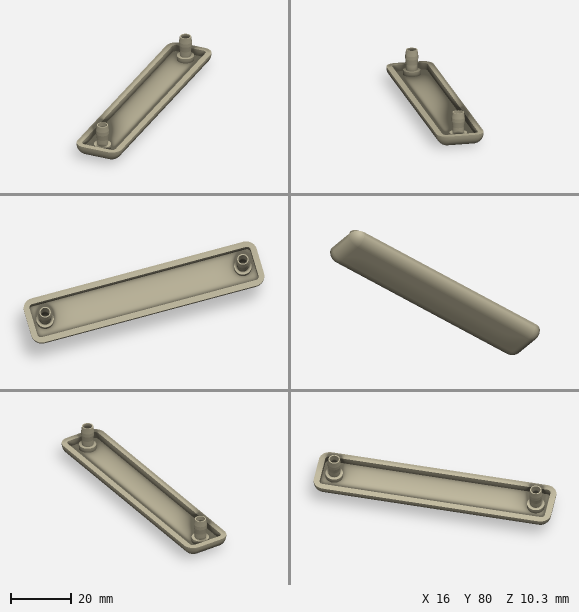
import cadquery as cq

length = 80.0
width = 16.0
plate_height = 4.0
edge_band = 0.4
edge_radius = plate_height - edge_band

rim_width = 2.0
pocket_depth = 2.3
pocket_corner_radius = 1.2

pin_spacing = 68.0
boss_diameter = 5.8
boss_height = 1.6
pin_diameter = 3.8
barb_diameter = 4.3
bore_diameter = 3.0
total_height = 10.3
tip_taper = 1.9
barb_band = 1.2
barb_taper = 1.9
bore_depth = 6.3

pocket_floor = plate_height - pocket_depth
boss_top = pocket_floor + boss_height


def make_plate():
    """Rounded plate with a rectangular pocket open at the top."""
    plate = (
        cq.Workplane("XY")
        .box(width, length, plate_height, centered=(True, True, False))
        .edges("|Z").fillet(edge_radius)
        .faces("<Z").edges().fillet(edge_radius)
    )
    pocket = (
        cq.Workplane("XY", origin=(0, 0, pocket_floor))
        .box(width - 2 * rim_width, length - 2 * rim_width, pocket_depth, centered=(True, True, False))
        .edges("|Z").fillet(pocket_corner_radius)
    )
    return plate.cut(pocket)


def make_pin():
    """Boss and barbed pin on the Z axis, from the pocket floor up."""
    pin_radius = pin_diameter / 2
    barb_radius = barb_diameter / 2
    boss_radius = boss_diameter / 2
    band_top = total_height - tip_taper
    band_bottom = band_top - barb_band
    neck_top = band_bottom - barb_taper
    return (
        cq.Workplane("XZ")
        .moveTo(0, pocket_floor)
        .lineTo(boss_radius, pocket_floor)
        .lineTo(boss_radius, boss_top)
        .lineTo(pin_radius, boss_top)
        .lineTo(pin_radius, neck_top)
        .lineTo(barb_radius, band_bottom)
        .lineTo(barb_radius, band_top)
        .lineTo(pin_radius, total_height)
        .lineTo(0, total_height)
        .close()
        .revolve(360, (0, 0, 0), (0, 1, 0))
    )


def make_bore():
    """Blind bore on the Z axis with a hemispherical end."""
    bore_radius = bore_diameter / 2
    bore_bottom = total_height - bore_depth
    return (
        cq.Workplane("XY", origin=(0, 0, bore_bottom))
        .circle(bore_radius)
        .extrude(bore_depth)
        .faces("<Z").workplane(origin=(0, 0, bore_bottom))
        .sphere(bore_radius)
    )


result = make_plate()
pin = make_pin().cut(make_bore())
for pin_y in (-pin_spacing / 2, pin_spacing / 2):
    result = result.union(pin.translate((0, pin_y, 0)))